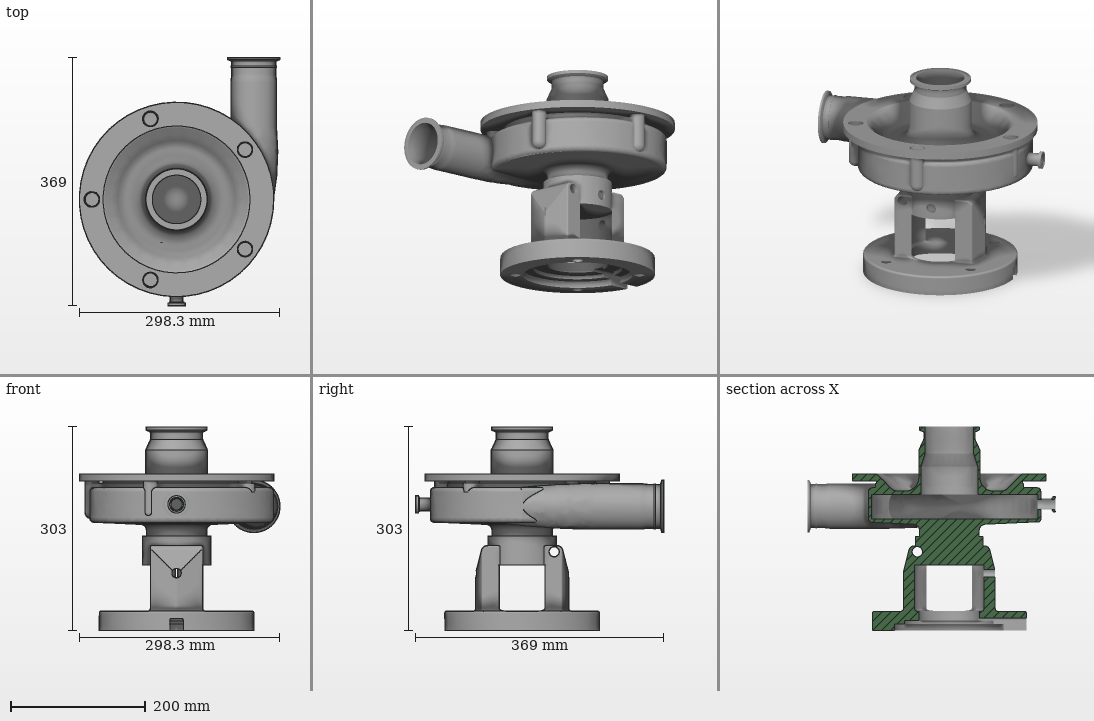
import cadquery as cq
import math


tolerance = 0.05

base_radius = 115.0
base_height = 29.0
base_edge_fillet = 3.5
base_bore_radius = 45.0
recess_radius = 66.5
recess_depth = 14.8
register_radius = 81.0
register_depth = 9.5
base_hole_radius = 7.7
base_hole_circle = 92.2
base_hole_count = 4
base_hole_first_angle = 45
slot_width = 20.0
slot_height = 18.5
slot_corner = 3.0

hub_radius = 51.0
hub_bottom = 97.5
hub_top = 140.5
hub_hole_z = 113.5
hub_hole_radius = 7.5
hub_hole_depth = 5.5
leg_half_width = 39.0
leg_side_reach = 59.8
leg_ridge_reach = 69.7
leg_inner_radius = 51.5
leg_top = 126.5
leg_slope_reach = 60.5
leg_slope_top = 119.5
leg_slope_bottom = 83.5
leg_shoulder_fillet = 9.2
leg_edge_fillet = 2.5
leg_ridge_fillet = 10.0
foot_fillet = 3.7
leg_hole_z = 85.5
leg_hole_radius = 7.0
rear_slit_width = 3.5
rear_slit_height = 13.3
cross_hole_y = 47.5
cross_hole_z = 117.5
cross_hole_radius = 7.5

neck_radius = base_bore_radius
neck_flare = 9.0
back_bottom = 158.0
back_radius = 118.0
volute_bottom = 161.0
volute_top = 213.0
volute_fillet = 6.5
volute_start_radius = 121.0
volute_growth = 7.7
volute_turn = 270
volute_step = 30
tongue_radius = 129.0
ring_radius = 110.7
ring_top = 219.5
wall = 5.5

flange_radius = 144.5
flange_bottom = 222.5
flange_top = 233.2
dish_floor = 207.7
dish_flat_inner = 65.5
dish_flat_outer = 76.8
dish_fillet = 14.8
dish_cone_radius = 106.5
dish_cone_angle = 45
dish_lip_radius = 109.2
stud_count = 5
stud_first_angle = 36
stud_circle = 126.0
stud_radius = 10.5
stud_hole_radius = 11.5
stud_bottom = 166.8
stud_top = 231.5
stud_end_fillet = 9.0
stud_web_fillet = 10.7
outer_boss_circle = 131.5

inlet_radius = 46.0
inlet_cone_bottom = 268.3
inlet_cone_top = 284.5
inlet_neck_radius = 38.7
inlet_neck_top = 295.2
inlet_rim_radius = 45.5
inlet_rim_thickness = 4.8
inlet_top = 303.0
inlet_bore_radius = 36.0
inlet_bore_end = 263.0
chamber_bore_radius = 42.5
chamber_bore_top = 243.5

outlet_x = 114.8
outlet_z = 185.0
outlet_end = 210.7
outlet_radius = 34.0
outlet_neck_radius = 33.0
outlet_neck_end = 205.5
outlet_rim_radius = 39.0
outlet_rim_thickness = 3.0
bead_start = 196.3
bead_end = 198.5
bead_radius = 33.5
step_start = 175.3
step_end = 186.7
outlet_bore_wall = 2.5
throat_start = 106.5
throat_middle = 7.5
throat_middle_x = 113.5
throat_middle_half_width = 31.7
throat_middle_half_height = 29.0
throat_end = -44.3
throat_end_x = 105.0
throat_end_half_width = 27.5
throat_end_half_height = 23.0

drain_z = 188.0
drain_radius = 9.5
drain_bore_radius = 8.5
drain_end = 158.3
drain_rim_radius = 13.0
drain_mouth_step = 2.0
drain_rim_thickness = 4.5
drain_collar_radius = 10.7
drain_collar_length = 1.5
drain_root = 125.5


def cylinder(radius, bottom, top):
    return cq.Workplane("XY").workplane(offset=bottom).circle(radius).extrude(top - bottom)


def make_base():
    base = cylinder(base_radius, 0, base_height).faces(">Z").edges().fillet(base_edge_fillet)
    base = base.cut(cylinder(base_bore_radius, 0, base_height))
    base = base.cut(cylinder(recess_radius, 0, recess_depth))
    base = base.cut(cylinder(register_radius, 0, register_depth))
    holes = (
        cq.Workplane("XY")
        .polarArray(base_hole_circle, base_hole_first_angle, 360, base_hole_count)
        .circle(base_hole_radius)
        .extrude(base_height)
    )
    slot = (
        cq.Workplane("XY")
        .box(slot_width, base_radius, slot_height, centered=(True, False, False))
        .edges("|Y and >Z")
        .fillet(slot_corner)
        .translate((0, -base_radius, 0))
    )
    return base.cut(holes).cut(slot)


def make_leg():
    """One leg on the -Y side: ridged outer face, sloped shoulder and rounded edges."""
    plan = (
        cq.Workplane("XY")
        .workplane(offset=base_height)
        .polyline([
            (-leg_half_width, 0),
            (-leg_half_width, -leg_side_reach),
            (0, -leg_ridge_reach),
            (leg_half_width, -leg_side_reach),
            (leg_half_width, 0),
        ])
        .close()
        .extrude(leg_top - base_height)
        .edges("|Z and (not >Y) and (not <Y)")
        .fillet(leg_edge_fillet)
        .edges("|Z and <Y")
        .fillet(leg_ridge_fillet)
    )
    slope = (leg_ridge_reach - leg_slope_reach) / (leg_slope_top - leg_slope_bottom)
    shoulder_reach = leg_slope_reach - slope * (leg_top - leg_slope_top)
    profile = (
        cq.Workplane("YZ")
        .polyline([
            (0, base_height),
            (-leg_ridge_reach, base_height),
            (-leg_ridge_reach, leg_slope_bottom),
            (-shoulder_reach, leg_top),
            (0, leg_top),
        ])
        .close()
        .extrude(leg_half_width, both=True)
    )
    shoulder_edge = cq.selectors.NearestToPointSelector((0, -shoulder_reach, leg_top))
    profile = profile.edges(shoulder_edge).fillet(leg_shoulder_fillet)
    profile = profile.faces(">Z").edges("|Y").fillet(leg_edge_fillet)
    return plan.intersect(profile).cut(cylinder(leg_inner_radius, base_height, hub_bottom))


def is_foot_edge(edge):
    """True for the edges where a leg stands on the base, clear of the bore and the outer rim."""
    center = edge.Center()
    on_base = abs(center.z - base_height) < tolerance
    beside_leg = abs(center.x) < leg_half_width + tolerance
    inner_corner = math.sqrt(leg_inner_radius**2 - leg_half_width**2)
    along_leg = inner_corner - tolerance < abs(center.y) < leg_ridge_reach + tolerance
    return on_base and beside_leg and along_leg


def make_adapter():
    leg = make_leg()
    legs = leg.union(leg.mirror("XZ"))
    frame = make_base().union(legs)
    foot_edges = frame.edges().filter(is_foot_edge)
    frame = foot_edges.fillet(foot_fillet)
    hole = (
        cq.Workplane("XZ")
        .center(0, leg_hole_z)
        .circle(leg_hole_radius)
        .extrude(leg_ridge_reach)
    )
    slit = (
        cq.Workplane("XZ")
        .center(0, leg_hole_z)
        .rect(rear_slit_width, rear_slit_height)
        .extrude(-leg_ridge_reach)
    )
    adapter = frame.cut(hole).cut(slit).union(cylinder(hub_radius, hub_bottom, hub_top))
    cross_hole = (
        cq.Workplane("YZ")
        .center(cross_hole_y, cross_hole_z)
        .circle(cross_hole_radius)
        .extrude(hub_radius, both=True)
    )
    hub_hole = (
        cq.Workplane("YZ")
        .workplane(offset=-hub_radius)
        .center(0, hub_hole_z)
        .circle(hub_hole_radius)
        .extrude(hub_hole_depth)
    )
    return adapter.cut(cross_hole).cut(hub_hole)


def volute_solid(inset, bottom, top):
    """Spiral growing from +Y through -X and -Y to +X, closed by an arc at the tongue."""
    def point(turn):
        radius = volute_start_radius + volute_growth * turn / 90 - inset
        angle = math.radians(90 + turn)
        return (radius * math.cos(angle), radius * math.sin(angle))

    spiral = [point(turn) for turn in range(0, volute_turn + 1, volute_step)]
    tongue = (tongue_radius - inset) / math.sqrt(2)
    return (
        cq.Workplane("XY")
        .workplane(offset=bottom)
        .moveTo(*spiral[0])
        .spline(spiral[1:], includeCurrent=True)
        .threePointArc((tongue, tongue), spiral[0])
        .close()
        .extrude(top - bottom)
    )


def make_back():
    """Shallow conical back wall, flared into the neck above the hub."""
    flare_radius = neck_radius + neck_flare
    return (
        cq.Workplane("XZ")
        .moveTo(0, hub_top)
        .lineTo(neck_radius, hub_top)
        .lineTo(neck_radius, back_bottom - neck_flare)
        .tangentArcPoint((flare_radius, back_bottom), relative=False)
        .lineTo(back_radius, volute_bottom)
        .lineTo(back_radius, volute_bottom + wall)
        .lineTo(0, volute_bottom + wall)
        .close()
        .revolve(360, (0, 0, 0), (0, 1, 0))
    )


def stud_angles():
    return [stud_first_angle + i * 360 / stud_count for i in range(stud_count)]


def make_ring():
    """Ring under the cover with a filleted web reaching out to every stud."""
    height = ring_top - volute_top
    ring = cylinder(ring_radius, volute_top, ring_top).rotate((0, 0, 0), (0, 0, 1), stud_first_angle)
    web = (
        cq.Workplane("XY")
        .box(stud_circle, 2 * stud_radius, height, centered=(False, True, False))
        .translate((0, 0, volute_top))
    )
    for angle in stud_angles():
        ring = ring.union(web.rotate((0, 0, 0), (0, 0, 1), angle))
    roots = ring.edges("|Z").filter(
        lambda edge: math.hypot(edge.Center().x, edge.Center().y) < ring_radius + tolerance
    )
    return roots.fillet(stud_web_fillet)


def make_volute():
    shell = volute_solid(0, volute_bottom, volute_top)
    shell = shell.faces("<Z or >Z").edges().fillet(volute_fillet)
    return shell.union(make_back()).union(make_ring()).union(make_outer_boss())


def make_cover():
    flange = cylinder(flange_radius, flange_bottom, flange_top)
    flange = flange.union(cylinder(dish_lip_radius, ring_top, flange_bottom))
    holes = (
        cq.Workplane("XY")
        .workplane(offset=flange_bottom)
        .polarArray(stud_circle, stud_first_angle, 360, stud_count)
        .circle(stud_hole_radius)
        .extrude(flange_top - flange_bottom)
    )
    return flange.cut(holes)


def make_outer_boss():
    """Raised boss that carries the stud web out to the wide side of the volute."""
    bottom = volute_top - volute_fillet
    web_length = outer_boss_circle - stud_circle
    boss = cylinder(stud_radius, bottom, ring_top).translate((outer_boss_circle, 0, 0))
    web = (
        cq.Workplane("XY")
        .box(web_length, 2 * stud_radius, ring_top - bottom, centered=(False, True, False))
        .translate((stud_circle, 0, bottom))
    )
    return boss.union(web).rotate((0, 0, 0), (0, 0, 1), -stud_first_angle)


def make_studs():
    stud = cylinder(stud_radius, stud_bottom, stud_top).faces("<Z").edges().fillet(stud_end_fillet)
    stud = stud.translate((stud_circle, 0, 0))
    studs = cq.Workplane("XY")
    for angle in stud_angles():
        studs = studs.union(stud.rotate((0, 0, 0), (0, 0, 1), angle))
    return studs


def make_dish():
    """Space removed around the inlet: filleted floor, straight cone and bevelled lip."""
    slope = math.radians(dish_cone_angle)
    half = slope / 2
    blend = dish_flat_inner - inlet_radius
    cone_start_r = dish_flat_outer + dish_fillet * math.sin(slope)
    cone_start_z = dish_floor + dish_fillet * (1 - math.cos(slope))
    cone_end_z = cone_start_z + (dish_cone_radius - cone_start_r) * math.tan(slope)
    fillet_mid = (
        dish_flat_outer + dish_fillet * math.sin(half),
        dish_floor + dish_fillet * (1 - math.cos(half)),
    )
    return (
        cq.Workplane("XZ")
        .moveTo(inlet_radius, flange_top)
        .lineTo(inlet_radius, dish_floor + blend)
        .tangentArcPoint((dish_flat_inner, dish_floor), relative=False)
        .lineTo(dish_flat_outer, dish_floor)
        .threePointArc(fillet_mid, (cone_start_r, cone_start_z))
        .lineTo(dish_cone_radius, cone_end_z)
        .lineTo(dish_lip_radius, flange_top)
        .close()
        .revolve(360, (0, 0, 0), (0, 1, 0))
    )


def make_inlet():
    return (
        cq.Workplane("XZ")
        .polyline([
            (0, dish_floor),
            (inlet_radius, dish_floor),
            (inlet_radius, inlet_cone_bottom),
            (inlet_neck_radius, inlet_cone_top),
            (inlet_neck_radius, inlet_neck_top),
            (inlet_rim_radius, inlet_top - inlet_rim_thickness),
            (inlet_rim_radius, inlet_top),
            (0, inlet_top),
        ])
        .close()
        .revolve(360, (0, 0, 0), (0, 1, 0))
    )


def make_inlet_bore():
    return (
        cq.Workplane("XZ")
        .polyline([
            (0, volute_bottom + wall),
            (chamber_bore_radius, volute_bottom + wall),
            (chamber_bore_radius, chamber_bore_top),
            (inlet_bore_radius, inlet_bore_end),
            (inlet_bore_radius, inlet_top),
            (0, inlet_top),
        ])
        .close()
        .revolve(360, (0, 0, 0), (0, 1, 0))
    )


def make_throat(inset):
    """Tapering passage between the volute and the round outlet pipe."""
    sections = [
        (throat_end, throat_end_x, throat_end_half_width, throat_end_half_height),
        (throat_middle, throat_middle_x, throat_middle_half_width, throat_middle_half_height),
        (throat_start, outlet_x, outlet_radius, outlet_radius),
    ]
    wires = []
    for y, x, half_width, half_height in sections:
        plane = cq.Workplane("XZ", origin=(x, y, outlet_z))
        wires.append(plane.ellipse(half_width - inset, half_height - inset).wire().val())
    return cq.Workplane(cq.Solid.makeLoft(wires))


def make_outlet():
    step_middle = (step_start + step_end) / 2
    middle_radius = (outlet_radius + outlet_neck_radius) / 2
    pipe = (
        cq.Workplane("XY")
        .moveTo(0, throat_start)
        .lineTo(outlet_radius, throat_start)
        .lineTo(outlet_radius, step_start)
        .tangentArcPoint((middle_radius, step_middle), relative=False)
        .tangentArcPoint((outlet_neck_radius, step_end), relative=False)
        .lineTo(outlet_neck_radius, bead_start)
        .lineTo(bead_radius, bead_start)
        .lineTo(bead_radius, bead_end)
        .lineTo(outlet_neck_radius, bead_end)
        .lineTo(outlet_neck_radius, outlet_neck_end)
        .lineTo(outlet_rim_radius, outlet_end - outlet_rim_thickness)
        .lineTo(outlet_rim_radius, outlet_end)
        .lineTo(0, outlet_end)
        .close()
        .revolve(360, (0, 0, 0), (0, 1, 0))
        .translate((outlet_x, 0, outlet_z))
    )
    return pipe.union(make_throat(0))


def make_outlet_bore():
    bore = (
        cq.Workplane("XZ", origin=(outlet_x, throat_start, outlet_z))
        .circle(outlet_radius - outlet_bore_wall)
        .extrude(throat_start - outlet_end)
    )
    return bore.union(make_throat(outlet_bore_wall))


def along_drain(radius, start, end):
    return cq.Workplane("XZ", origin=(0, -start, drain_z)).circle(radius).extrude(end - start)


def make_drain():
    rim_start = drain_end - drain_rim_thickness
    drain = along_drain(drain_radius, drain_root, drain_end)
    drain = drain.union(along_drain(drain_collar_radius, rim_start - drain_collar_length, rim_start))
    return drain.union(along_drain(drain_rim_radius, rim_start, drain_end))


def make_drain_bore():
    bore = along_drain(drain_bore_radius, drain_root, drain_end)
    mouth = along_drain(drain_bore_radius + drain_mouth_step, drain_end - drain_mouth_step, drain_end)
    return bore.union(mouth)


pump = make_volute().union(make_cover()).cut(make_dish())
pump = pump.union(make_inlet()).union(make_outlet()).union(make_drain()).union(make_studs())

chamber = volute_solid(wall, volute_bottom + wall, dish_floor - wall)
pump = pump.cut(chamber).cut(make_inlet_bore()).cut(make_outlet_bore())
pump = pump.cut(make_drain_bore())

result = make_adapter().union(pump)